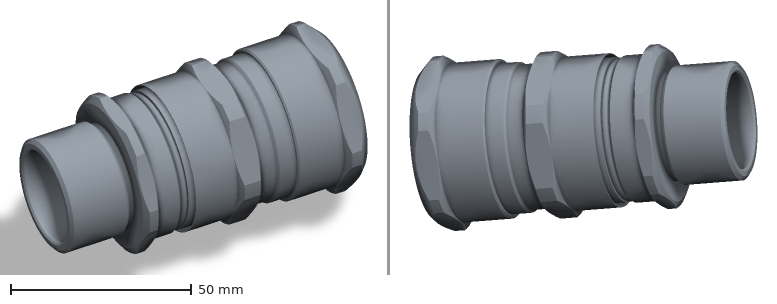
import cadquery as cq
import math

TOTAL_LENGTH = 89.65
HEX_SIDES = 6
NUT_CHAMFER_ANGLE = 30
OVERLAP = 0.1

THREAD_DIA = 33.25
NECK_DIA = 30.85
THREAD_LEAD_IN = 0.9
LEAD_IN_DIA = 31.05
THREAD_END = 17.35
NECK_CONE_LENGTH = 1.4
NECK_START = THREAD_END + NECK_CONE_LENGTH

BORE_DIA = 27.0
BORE_DEPTH = 17.0
BORE_CHAMFER = 0.5

ENTRY_NUT_START = 20.05
ENTRY_NUT_END = 24.95
ENTRY_NUT_FLATS = 43.0
ENTRY_NUT_CORNERS = 46.0
ENTRY_NUT_FACE_DIA = 42.0
COLLAR_DIA = 41.0
COLLAR_END = 31.7

GROOVE_DIA = 38.8
COLLAR_CHAMFER_LENGTH = 0.8
RING_DIA = 40.0
RING_THICKNESS = 2.1
GROOVE_END = COLLAR_END + COLLAR_CHAMFER_LENGTH + RING_THICKNESS

SHANK_DIA = 40.5
MIDDLE_SLEEVE_START = 36.25
MIDDLE_SLEEVE_DIA = 42.9
MIDDLE_SLEEVE_BORE = 42.4
MIDDLE_NUT_START = 49.2
MIDDLE_NUT_END = 57.1
MIDDLE_NUT_FLATS = 43.0
MIDDLE_NUT_CORNERS = 46.9

SHOULDER_DIA = 42.0
SHOULDER_START = 61.7
SHOULDER_CHAMFER = (SHOULDER_DIA - SHANK_DIA) / 2

REAR_SLEEVE_DIA = 44.4
REAR_SLEEVE_START = 67.65
REAR_SLEEVE_CHAMFER = 0.5
REAR_NUT_START = 81.7
REAR_NUT_FLATS = 45.0
REAR_NUT_CORNERS = 49.24
REAR_FACE_DIA = 42.0
REAR_CHAMFER_ANGLE = 45


def revolve_profile(stations):
    """Solid of revolution about Y through (diameter, y) stations."""
    points = [(dia / 2, y) for dia, y in stations]
    outline = [(0, points[0][1])] + points + [(0, points[-1][1])]
    return cq.Workplane("XY").polyline(outline).close().revolve(360, (0, 0), (0, 1))


def cylinder(dia, start, end):
    return revolve_profile([(dia, start), (dia, end)])


def hex_nut(start, end, flats, corners, front_dia, rear_dia, rear_angle=NUT_CHAMFER_ANGLE):
    """Hexagon with flats facing +Z and -Z, rounded at the corners and coned at both ends."""
    front_cone = (corners - front_dia) / 2 * math.tan(math.radians(NUT_CHAMFER_ANGLE))
    rear_cone = (corners - rear_dia) / 2 * math.tan(math.radians(rear_angle))
    blank = revolve_profile([
        (front_dia, start),
        (corners, start + front_cone),
        (corners, end - rear_cone),
        (rear_dia, end),
    ])
    point_to_point = flats / math.cos(math.pi / HEX_SIDES)
    prism = (
        cq.Workplane("XZ", origin=(0, start, 0))
        .polygon(HEX_SIDES, point_to_point)
        .extrude(start - end)
    )
    return blank.intersect(prism)


def spigot():
    return revolve_profile([
        (LEAD_IN_DIA, 0),
        (THREAD_DIA, THREAD_LEAD_IN),
        (THREAD_DIA, THREAD_END),
        (NECK_DIA, NECK_START),
        (NECK_DIA, ENTRY_NUT_START + OVERLAP),
    ])


def entry_nut():
    nut = hex_nut(
        ENTRY_NUT_START, ENTRY_NUT_END, ENTRY_NUT_FLATS, ENTRY_NUT_CORNERS,
        ENTRY_NUT_FACE_DIA, ENTRY_NUT_FACE_DIA,
    )
    collar = revolve_profile([
        (COLLAR_DIA, ENTRY_NUT_END - OVERLAP),
        (COLLAR_DIA, COLLAR_END),
        (GROOVE_DIA, COLLAR_END + COLLAR_CHAMFER_LENGTH),
        (GROOVE_DIA, GROOVE_END + OVERLAP),
    ])
    return nut.union(collar)


def sealing_ring():
    """Ring with a half-round outer side, filling the groove."""
    radius = RING_THICKNESS / 2
    root_radius = RING_DIA / 2 - radius
    start = GROOVE_END - RING_THICKNESS
    return (
        cq.Workplane("XY")
        .moveTo(root_radius, start)
        .threePointArc((RING_DIA / 2, start + radius), (root_radius, GROOVE_END))
        .close()
        .revolve(360, (0, 0), (0, 1))
    )


def middle_nut():
    shank = cylinder(SHANK_DIA, GROOVE_END, SHOULDER_START + OVERLAP)
    sleeve = cylinder(MIDDLE_SLEEVE_DIA, MIDDLE_SLEEVE_START, MIDDLE_NUT_START + OVERLAP)
    sleeve = sleeve.cut(cylinder(MIDDLE_SLEEVE_BORE, MIDDLE_SLEEVE_START, MIDDLE_NUT_START))
    nut = hex_nut(
        MIDDLE_NUT_START, MIDDLE_NUT_END, MIDDLE_NUT_FLATS, MIDDLE_NUT_CORNERS,
        MIDDLE_SLEEVE_DIA, SHANK_DIA,
    )
    return sleeve.union(shank).union(nut)


def rear_nut():
    body = revolve_profile([
        (SHANK_DIA, SHOULDER_START),
        (SHOULDER_DIA, SHOULDER_START + SHOULDER_CHAMFER),
        (SHOULDER_DIA, REAR_SLEEVE_START),
        (REAR_SLEEVE_DIA - 2 * REAR_SLEEVE_CHAMFER, REAR_SLEEVE_START),
        (REAR_SLEEVE_DIA, REAR_SLEEVE_START + REAR_SLEEVE_CHAMFER),
        (REAR_SLEEVE_DIA, REAR_NUT_START + OVERLAP),
    ])
    nut = hex_nut(
        REAR_NUT_START, TOTAL_LENGTH, REAR_NUT_FLATS, REAR_NUT_CORNERS,
        REAR_SLEEVE_DIA, REAR_FACE_DIA, REAR_CHAMFER_ANGLE,
    )
    return body.union(nut)


def bore():
    return revolve_profile([
        (BORE_DIA + 2 * BORE_CHAMFER, 0),
        (BORE_DIA, BORE_CHAMFER),
        (BORE_DIA, BORE_DEPTH),
    ])


result = (
    spigot()
    .union(entry_nut())
    .union(sealing_ring())
    .union(middle_nut())
    .union(rear_nut())
    .cut(bore())
)